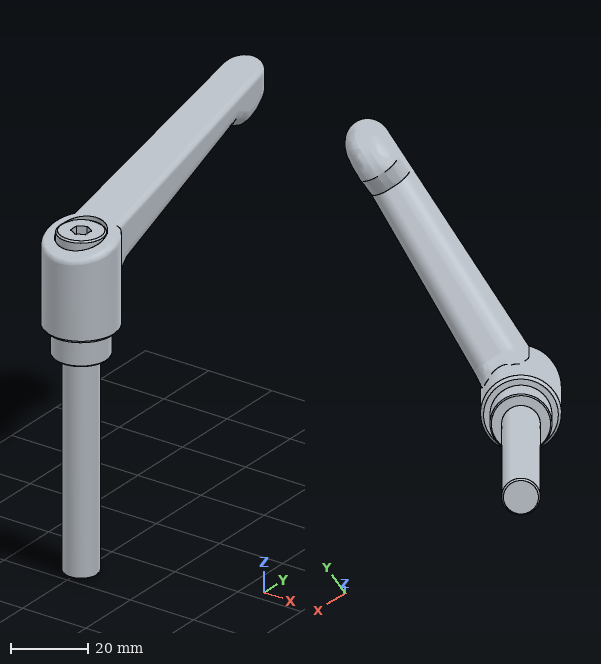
import cadquery as cq
import math

stud_diameter = 10.0
stud_chamfer = 0.5
collar_diameter = 16.0
collar_bottom = 63.0
collar_edge = 0.4

hub_diameter = 21.0
hub_radius = hub_diameter / 2
hub_bottom = 70.9
hub_bottom_chamfer = 0.8

top_slope = math.tan(math.radians(15))
top_height_at_axis = 97.7
top_fillet = 2.0

overall_length = 88.5
arm_end = overall_length - hub_radius
tip_radius = 6.0
tip_center = arm_end - tip_radius
side_taper = math.radians(1.2)
underside_fillet = 5.1

knob_end = (arm_end, 111.0)
knob_middle = (74.0, 105.0)
knob_bottom = (66.1, 102.4)
neck_middle = (63.8, 103.1)
neck = (61.0, 104.3)
throat_start = (12.7, 86.4)
throat_middle = (11.1, 84.8)
throat_end = (10.0, 81.4)

head_diameter = 13.2
head_top = 98.6
head_chamfer = 0.5
recess_diameter = 13.7
recess_floor = 93.9
socket_sides = 6
socket_across_flats = 4.7
socket_depth = 3.5


def top_height(y):
    """Height of the sloped top face at a given Y."""
    return top_height_at_axis + y * top_slope


def disc(diameter, bottom, top):
    """Upright cylinder on the Z axis."""
    return cq.Workplane("XY").workplane(offset=bottom).circle(diameter / 2).extrude(top - bottom)


def rounded_top(body):
    """Round the rim of the sloped top face, leaving any straight edge across X sharp."""
    top_direction = cq.Vector(0, -top_slope, 1)
    return body.faces(cq.selectors.ParallelDirSelector(top_direction)).edges("not |X").fillet(top_fillet)


def underside_edges(arm):
    """Side edges that run lengthwise along the underside of the arm, outside the hub."""
    shortest_length = 0.6
    edges = []
    for edge in arm.edges().vals():
        middle = edge.Center()
        box = edge.BoundingBox()
        runs_lengthwise = box.ylen > shortest_length
        outside_hub = middle.y > hub_radius
        below_top = middle.z < top_height(middle.y) - top_fillet
        if runs_lengthwise and outside_hub and below_top:
            edges.append(edge)
    return edges


def make_arm():
    """Tapered round-ended plan cut to the side outline, with a rounded underside."""
    side = (
        cq.Workplane("YZ")
        .moveTo(0, top_height(0))
        .lineTo(arm_end, top_height(arm_end))
        .lineTo(*knob_end)
        .threePointArc(knob_middle, knob_bottom)
        .threePointArc(neck_middle, neck)
        .lineTo(*throat_start)
        .threePointArc(throat_middle, throat_end)
        .lineTo(0, throat_end[1])
        .close()
        .extrude(hub_radius, both=True)
    )
    tangent_x = tip_radius * math.cos(side_taper)
    tangent_y = tip_center + tip_radius * math.sin(side_taper)
    axis_half_width = tangent_x + tangent_y * math.tan(side_taper)
    plan = (
        cq.Workplane("XY")
        .moveTo(-axis_half_width, 0)
        .lineTo(-tangent_x, tangent_y)
        .threePointArc((0, arm_end), (tangent_x, tangent_y))
        .lineTo(axis_half_width, 0)
        .close()
        .extrude(top_height(arm_end))
    )
    arm = side.intersect(plan)
    arm = arm.newObject(underside_edges(arm)).fillet(underside_fillet)
    return rounded_top(arm)


def make_hub():
    """Round hub cut off by the sloped top plane."""
    hub = disc(hub_diameter, hub_bottom, top_height(hub_diameter))
    hub = hub.faces("<Z").chamfer(hub_bottom_chamfer)
    below_top = (
        cq.Workplane("YZ")
        .moveTo(-hub_diameter, 0)
        .lineTo(hub_diameter, 0)
        .lineTo(hub_diameter, top_height(hub_diameter))
        .lineTo(-hub_diameter, top_height(-hub_diameter))
        .close()
        .extrude(hub_diameter, both=True)
    )
    return rounded_top(hub.intersect(below_top))


def make_lever():
    """Arm and hub in one piece, with a recess for the screw head."""
    body = make_arm().union(make_hub())
    return body.cut(disc(recess_diameter, recess_floor, top_height(hub_radius)))


def make_screw():
    """Round screw head with a hexagon socket that has corners along Y."""
    head = disc(head_diameter, recess_floor, head_top).faces(">Z").chamfer(head_chamfer)
    across_corners = socket_across_flats / math.cos(math.pi / socket_sides)
    socket = (
        cq.Workplane("XY")
        .workplane(offset=head_top - socket_depth)
        .polygon(socket_sides, across_corners)
        .extrude(socket_depth)
        .rotate((0, 0, 0), (0, 0, 1), 180 / socket_sides)
    )
    return head.cut(socket)


def make_stud():
    """Plain stud with the collar that carries the lever."""
    collar = disc(collar_diameter, collar_bottom, hub_bottom).faces("<Z").chamfer(collar_edge)
    stud = disc(stud_diameter, 0, hub_bottom).faces("<Z").chamfer(stud_chamfer)
    return collar.union(stud)


lever = make_lever()
screw = make_screw()
stud = make_stud()

result = cq.Compound.makeCompound([lever.val(), screw.val(), stud.val()])